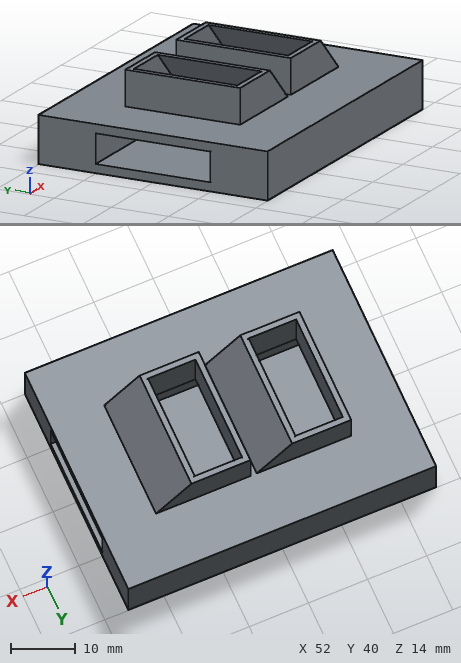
import cadquery as cq

plate_length = 52.0
plate_width = 40.0
plate_height = 8.0

slot_width = 20.0
slot_height = 5.0
slot_floor = 1.5
slot_ceiling = slot_floor + slot_height

total_height = 14.0
chute_height = total_height - plate_height
chute_top_length = 10.0
chute_base_length = chute_top_length + chute_height
chute_wall = 1.0
chute_width = slot_width
first_chute_x = 10.0
chute_pitch = 17.0
chute_starts = [first_chute_x, first_chute_x + chute_pitch]

middle_y = plate_width / 2


def box_between(x_start, x_end, width, z_bottom, z_top):
    """Box centred on the middle of the plate in Y."""
    return (
        cq.Workplane("XY")
        .box(x_end - x_start, width, z_top - z_bottom, centered=(False, True, False))
        .translate((x_start, middle_y, z_bottom))
    )


def chute_body(x_start):
    """Solid block with a vertical -X face and a sloping +X face."""
    return (
        cq.Workplane("XZ", origin=(x_start, middle_y, plate_height))
        .polyline([(0, 0), (chute_base_length, 0), (chute_top_length, chute_height), (0, chute_height)])
        .close()
        .extrude(chute_width / 2, both=True)
    )


def chute_passage(x_start):
    """Passage from the chute top into the slot, widening toward +X at 45 degrees."""
    passage_start = chute_wall
    passage_end = chute_top_length - chute_wall
    drop = total_height - slot_ceiling
    return (
        cq.Workplane("XZ", origin=(x_start, middle_y, slot_ceiling))
        .polyline([(passage_start, 0), (passage_end + drop, 0), (passage_end, drop), (passage_start, drop)])
        .close()
        .extrude(chute_width / 2 - chute_wall, both=True)
    )


result = box_between(0, plate_length, plate_width, 0, plate_height)
for chute_x in chute_starts:
    result = result.union(chute_body(chute_x))

result = result.cut(box_between(0, plate_length, slot_width, slot_floor, slot_ceiling))
for chute_x in chute_starts:
    result = result.cut(chute_passage(chute_x))